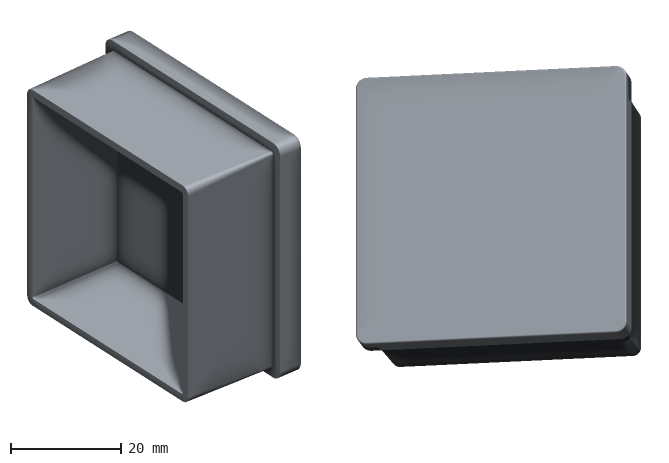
import cadquery as cq

flange_side = 50
flange_thickness = 5
flange_corner_radius = 2
back_edge_radius = 0.3
total_depth = 25
flange_overhang = 2
wall = 1.5
root_corner_radius = 0.5
rim_corner_radius = 1.5
cavity_corner_radius = 0.4
cavity_depth = 20

rim_y = -total_depth / 2
back_y = total_depth / 2
flange_front_y = back_y - flange_thickness
plug_side = flange_side - 2 * flange_overhang
cavity_side = plug_side - 2 * wall


def rounded_square(side, radius, y):
    """Rounded square sketch in the XZ plane at the given Y."""
    sketch = cq.Sketch().rect(side, side).vertices().fillet(radius)
    return cq.Workplane("XZ", origin=(0, y, 0)).placeSketch(sketch)


def rounded_square_wire(side, radius, y):
    """Outer wire of a rounded square at the given Y."""
    face = rounded_square(side, radius, y).extrude(0.5).faces(">Y").val()
    return face.outerWire()


def make_flange():
    """Square flange with rounded corners and a softened back edge."""
    flange = rounded_square(flange_side, flange_corner_radius, back_y).extrude(flange_thickness)
    return flange.faces(">Y").edges().fillet(back_edge_radius)


def make_plug():
    """Straight-sided plug whose corner radius grows toward the open rim."""
    root = rounded_square_wire(plug_side, root_corner_radius, flange_front_y)
    rim = rounded_square_wire(plug_side, rim_corner_radius, rim_y)
    return cq.Workplane(cq.Solid.makeLoft([root, rim], True))


def make_cavity():
    """Blind pocket running in from the rim."""
    return rounded_square(cavity_side, cavity_corner_radius, rim_y + cavity_depth).extrude(cavity_depth)


result = make_flange().union(make_plug()).cut(make_cavity())